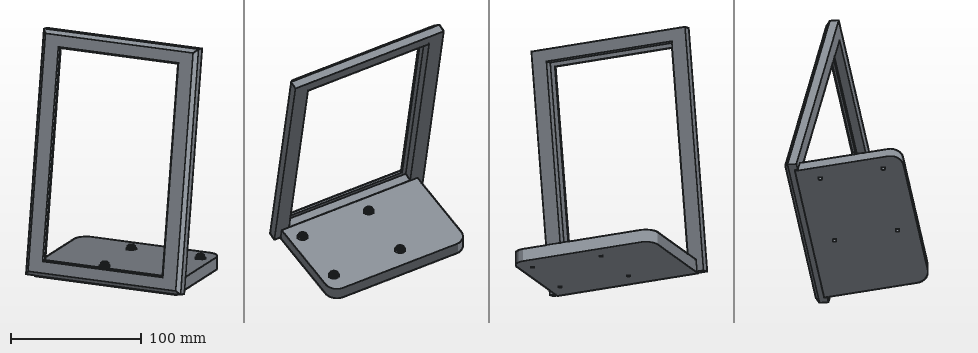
import cadquery as cq
import math

frame_width = 130.0
frame_height = 190.0
frame_thickness = 10.0
frame_lean = 10.0
frame_chamfer = 3.0
frame_clearance = 1.0
opening_width = 99.0
opening_height = 164.0
chamfer_angle = 45.0
opening_chamfer = 1.0
lip_thickness = 3.0
rebate_margin = 3.5

base_width = 119.0
base_thickness = 10.0
base_corner_radius = 10.0
base_toe = 2.3
total_depth = 89.53

standoff_pitch_x = 58.0
standoff_pitch_y = 49.0
standoff_right_inset = 10.5
standoff_back_inset = 15.7
recess_diameter = 8.0
recess_depth = 1.8
bore_diameter = 2.8
stem_diameter = 3.0
flange_diameter = 6.0
flange_bottom = 1.0
flange_thickness = 1.0
flare_diameter = 4.0
flare_height = 1.0

lean = math.radians(frame_lean)
frame_front_reach = frame_thickness * math.cos(lean) - frame_chamfer * math.sin(lean)
base_back = total_depth - frame_front_reach
base_front = -base_toe
base_length = base_back - base_front
stem_height = flange_bottom + flange_thickness + flare_height
standoff_right = base_width / 2 - standoff_right_inset
standoff_back = base_back - standoff_back_inset
standoff_places = [
    (standoff_right - column * standoff_pitch_x, standoff_back - row * standoff_pitch_y)
    for column in range(2)
    for row in range(2)
]


def upright_block(width, height, front, back):
    """Block centred on the frame's middle, spanning front to back in y."""
    return (
        cq.Workplane("XY")
        .box(width, back - front, height)
        .translate((0, (front + back) / 2, frame_height / 2))
    )


def lean_back(body):
    """Tilt an upright frame shape about its rear lower edge and lift it into place."""
    return body.rotate((0, 0, 0), (1, 0, 0), -frame_lean).translate((0, 0, frame_clearance))


def make_envelope():
    """Frame outline without its opening, chamfered around the front."""
    block = upright_block(frame_width, frame_height, -frame_thickness, 0)
    return block.faces("<Y").chamfer(frame_chamfer)


def make_frame():
    """Leaning frame with a front lip and a wider rebate behind it."""
    opening = upright_block(opening_width, opening_height, -frame_thickness, 0)
    rebate = upright_block(
        opening_width + 2 * rebate_margin,
        opening_height + 2 * rebate_margin,
        lip_thickness - frame_thickness,
        0,
    )
    mouth = (
        cq.Workplane("XZ", origin=(0, -frame_thickness, frame_height / 2))
        .rect(opening_width + 2 * opening_chamfer, opening_height + 2 * opening_chamfer)
        .extrude(-opening_chamfer, taper=chamfer_angle)
    )
    return lean_back(make_envelope().cut(opening).cut(rebate).cut(mouth))


def make_standoff():
    """Stem with a round flange and a flared tip, measured from the top of the base."""

    def disc(diameter, bottom, height):
        return cq.Workplane("XY").workplane(offset=bottom).circle(diameter / 2).extrude(height)

    stem = disc(stem_diameter, -recess_depth, recess_depth + stem_height)
    flange = disc(flange_diameter, flange_bottom, flange_thickness)
    flare = (
        cq.Workplane("XY")
        .workplane(offset=stem_height - flare_height)
        .circle(stem_diameter / 2)
        .workplane(offset=flare_height)
        .circle(flare_diameter / 2)
        .loft()
    )
    return stem.union(flange).union(flare)


def make_base():
    """Base plate notched for the frame, with a bored standoff in each recess."""
    base = (
        cq.Workplane("XY")
        .box(base_width, base_length, base_thickness, centered=(True, False, False))
        .translate((0, base_front, 0))
        .edges("|Z and >Y")
        .fillet(base_corner_radius)
        .cut(lean_back(make_envelope()))
    )
    top = cq.Workplane("XY").workplane(offset=base_thickness)
    base = base.cut(top.pushPoints(standoff_places).circle(recess_diameter / 2).extrude(-recess_depth))
    for x, y in standoff_places:
        base = base.union(make_standoff().translate((x, y, base_thickness)))
    bore_height = base_thickness + stem_height
    bores = cq.Workplane("XY").pushPoints(standoff_places).circle(bore_diameter / 2).extrude(bore_height)
    return base.cut(bores)


frame = make_frame()
base = make_base()
result = cq.Compound.makeCompound([frame.val(), base.val()])